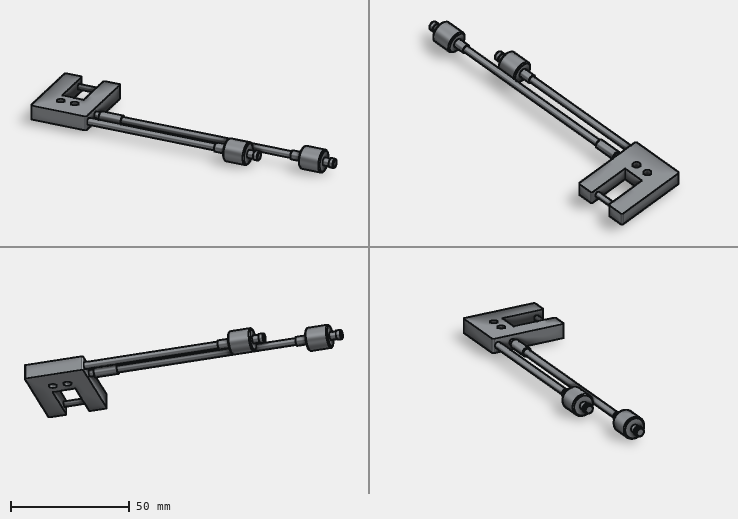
import cadquery as cq

head_length = 25.9
head_width = 34.6
head_height = 6.6
corner_radius = 0.7

slot_start = 8.0
slot_width = 10.0
slot_depth = 20.1

beam_diameter = 2.5
beam_setback = 3.5
beam_embed = 1.4

hole_diameter = 3.5
hole_setback = 25.1
hole_positions = (9.6, 16.1)

overall_length = 137.8
overall_width = 37.0
cable_diameter = 3.0
knob_diameter = 10.0
knob_length = 9.9
knob_chamfer = 0.5
ferrule_diameter = 4.0
neck_diameter = 3.5
neck_length = 2.9
tip_diameter = 4.1
tip_length = 2.2
tip_chamfer = 0.4

long_cable_y = -hole_setback
short_cable_y = knob_diameter / 2 - overall_width
long_cable_end = overall_length
short_cable_end = 105.7
long_ferrule_length = 5.1
short_ferrule_length = 5.4

stub_diameter = 2.9
sleeve_start = 28.2
sleeve_length = 10.2
sleeve_diameter = 4.1


def rod(start, end, y, diameter):
    """Round bar along X between two X positions."""
    return (
        cq.Workplane("YZ", origin=(start, y, 0))
        .circle(diameter / 2)
        .extrude(end - start)
    )


def make_head():
    """U-shaped block with a cross pin near the mouth and two through holes."""
    slot_end = slot_start + slot_width
    head = (
        cq.Workplane("XY", origin=(0, 0, -head_height / 2))
        .polyline([
            (0, 0),
            (slot_start, 0),
            (slot_start, -slot_depth),
            (slot_end, -slot_depth),
            (slot_end, 0),
            (head_length, 0),
            (head_length, -head_width),
            (0, -head_width),
        ])
        .close()
        .extrude(head_height)
    )
    outer_edges = head.edges("|Z and (>Y or <Y)")
    head = outer_edges.fillet(corner_radius)
    holes = (
        cq.Workplane("XY", origin=(0, 0, -head_height / 2))
        .pushPoints([(x, -hole_setback) for x in hole_positions])
        .circle(hole_diameter / 2)
        .extrude(head_height)
    )
    beam = rod(slot_start - beam_embed, slot_end + beam_embed, -beam_setback, beam_diameter)
    return head.cut(holes).union(beam)


def make_connector(end, y, ferrule_length):
    """Ferrule, knob, neck and tip, finishing at the given X position."""
    tip_start = end - tip_length
    knob_end = tip_start - neck_length
    knob_start = knob_end - knob_length
    ferrule = rod(knob_start - ferrule_length, knob_start, y, ferrule_diameter)
    knob = rod(knob_start, knob_end, y, knob_diameter).edges().chamfer(knob_chamfer)
    neck = rod(knob_end, tip_start, y, neck_diameter)
    tip = rod(tip_start, end, y, tip_diameter).faces(">X").edges().chamfer(tip_chamfer)
    return ferrule.union(knob).union(neck).union(tip)


def make_cable(start, end, y, ferrule_length):
    """Cable from a start position up to the connector that ends it."""
    cable_end = end - tip_length - neck_length - knob_length
    cable = rod(start, cable_end, y, cable_diameter)
    return cable.union(make_connector(end, y, ferrule_length))


stub = rod(head_length, sleeve_start, long_cable_y, stub_diameter)
sleeve = rod(sleeve_start, sleeve_start + sleeve_length, long_cable_y, sleeve_diameter)
long_cable = make_cable(sleeve_start, long_cable_end, long_cable_y, long_ferrule_length)
short_cable = make_cable(head_length, short_cable_end, short_cable_y, short_ferrule_length)

result = make_head().union(stub).union(sleeve).union(long_cable).union(short_cable)